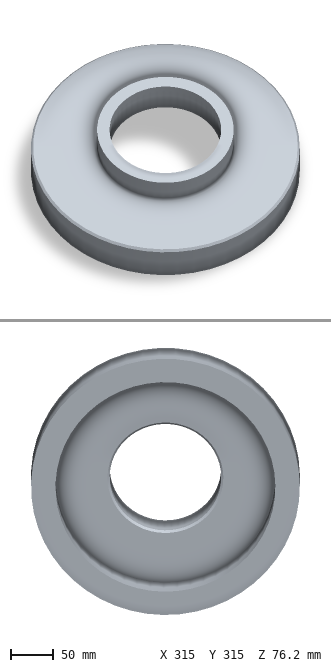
import cadquery as cq

flange_diameter = 315.0
hub_diameter = 160.0
bore_diameter = 130.7
recess_diameter = 257.5
total_height = 76.2
flange_height = 44.7
recess_depth = 35.3
rim_chamfer = 2.5
root_fillet = 3.0
bore_chamfer = 2.5

hub_height = total_height - flange_height

flange = (
    cq.Workplane("XY")
    .circle(flange_diameter / 2)
    .extrude(flange_height)
    .faces(">Z")
    .edges()
    .chamfer(rim_chamfer)
)

body = flange.faces(">Z").workplane().circle(hub_diameter / 2).extrude(hub_height)
hub_root = cq.selectors.RadiusNthSelector(0)
body = body.faces("<Z[-2]").edges(hub_root).fillet(root_fillet)

body = body.faces(">Z").workplane().circle(bore_diameter / 2).cutThruAll()

recess = cq.Workplane("XY").circle(recess_diameter / 2).extrude(recess_depth)
body = body.cut(recess)

mouth_chamfer = (
    cq.Workplane("XY")
    .workplane(offset=recess_depth)
    .circle(bore_diameter / 2 + bore_chamfer)
    .workplane(offset=bore_chamfer)
    .circle(bore_diameter / 2)
    .loft()
)
result = body.cut(mouth_chamfer)